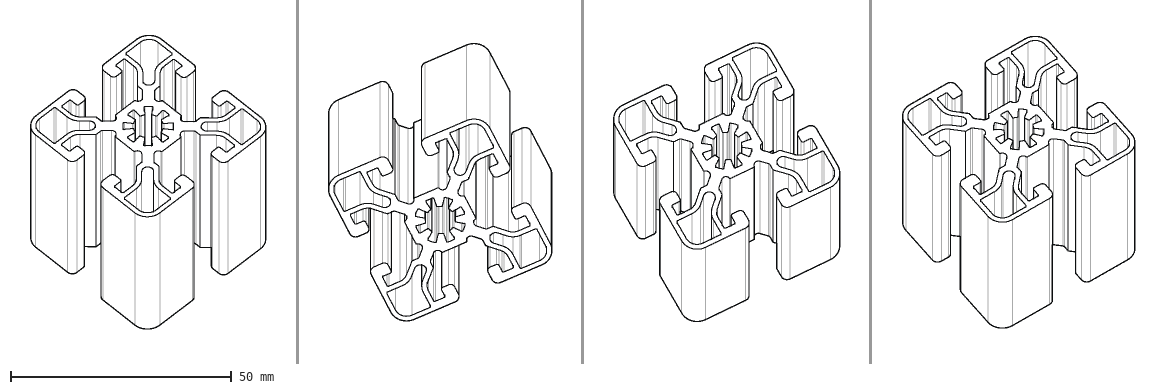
import cadquery as cq
import math

SIDE = 40.0
LENGTH = 40.0
HALF = SIDE / 2
CORNER_RADIUS = 4.0
WALL = 1.2

MOUTH_HALF_WIDTH = 4.2
LIP_DEPTH = 4.5
LIP_THICKNESS = 2.1
LIP_INNER_X = 7.2
LIP_FACE_RADIUS = 1.5
LIP_BACK_RADIUS = 1.0
LIP_TIP_RADIUS = 0.5
UNDERCUT_HALF_WIDTH = 10.0
UNDERCUT_EDGE_RADIUS = 0.3
UNDERCUT_Y = HALF - LIP_THICKNESS
FLOOR_HALF_WIDTH = 6.5
FLOOR_Y = 7.5
GROOVE_RADIUS = 1.0
GROOVE_X = 4.15
GROOVE_EDGE_RADIUS = 0.2

WEB_HALF_WIDTH = 2.55
WEB_BEND_RADIUS = 3.0
NECK_EDGE_RADIUS = 0.6

CAVITY_INNER = UNDERCUT_HALF_WIDTH + WALL
CAVITY_BEND_RADIUS = 4.0
CAVITY_EDGE_RADIUS = 0.3
CAVITY_END_RADIUS = 1.35
CAVITY_END_CENTRE = 9.45

BORE_RADIUS = 3.4
NOTCH_COUNT = 8
NOTCH_TIP_RADIUS = 5.75
NOTCH_MOUTH_HALF_WIDTH = 0.7
NOTCH_TIP_HALF_WIDTH = 1.05
NOTCH_EDGE_RADIUS = 0.25

QUARTER_TURNS = (0, 90, 180, 270)


def bend_edges(solid, x, y, radius):
    """Fillet the vertical edges at (x, y)."""
    reach = 0.02
    box = cq.selectors.BoxSelector((x - reach, y - reach, -0.4), (x + reach, y + reach, LENGTH + 0.4))
    return solid.edges("|Z").edges(box).fillet(radius)


def make_slot():
    """T-slot opening toward +Y."""
    web_offset = WEB_HALF_WIDTH * math.sqrt(2)
    web_top = UNDERCUT_HALF_WIDTH + web_offset
    groove_reach = GROOVE_RADIUS * math.sqrt(0.5)
    groove_exit = (GROOVE_X + groove_reach, FLOOR_Y - groove_reach)
    neck_top = groove_exit[1] + FLOOR_HALF_WIDTH - groove_exit[0]

    half = (
        cq.Workplane("XY")
        .moveTo(0, HALF)
        .lineTo(0, FLOOR_Y)
        .lineTo(GROOVE_X - GROOVE_RADIUS, FLOOR_Y)
        .threePointArc((GROOVE_X, FLOOR_Y - GROOVE_RADIUS), groove_exit)
        .lineTo(FLOOR_HALF_WIDTH, neck_top)
        .lineTo(FLOOR_HALF_WIDTH, FLOOR_HALF_WIDTH + web_offset)
        .lineTo(UNDERCUT_HALF_WIDTH, web_top)
        .lineTo(UNDERCUT_HALF_WIDTH, UNDERCUT_Y)
        .lineTo(LIP_INNER_X, UNDERCUT_Y)
        .lineTo(LIP_INNER_X, HALF - LIP_DEPTH)
        .lineTo(MOUTH_HALF_WIDTH, HALF - LIP_DEPTH)
        .lineTo(MOUTH_HALF_WIDTH, HALF)
        .close()
        .extrude(LENGTH)
    )
    half = bend_edges(half, UNDERCUT_HALF_WIDTH, web_top, WEB_BEND_RADIUS)
    half = bend_edges(half, FLOOR_HALF_WIDTH, neck_top, NECK_EDGE_RADIUS)
    half = bend_edges(half, GROOVE_X - GROOVE_RADIUS, FLOOR_Y, GROOVE_EDGE_RADIUS)
    for x in (LIP_INNER_X, UNDERCUT_HALF_WIDTH):
        half = bend_edges(half, x, UNDERCUT_Y, UNDERCUT_EDGE_RADIUS)
    half = bend_edges(half, LIP_INNER_X, HALF - LIP_DEPTH, LIP_TIP_RADIUS)
    return half.union(half.mirror("YZ"))


def make_cavity():
    """Hollow in the +X +Y corner, with a round-ended tail along the diagonal."""
    outer = HALF - WALL
    bend = CAVITY_INNER + CAVITY_END_RADIUS * math.sqrt(2)
    tangent = CAVITY_END_RADIUS * math.sqrt(0.5)
    near = CAVITY_END_CENTRE - tangent
    far = CAVITY_END_CENTRE + tangent

    cavity = (
        cq.Workplane("XY")
        .moveTo(outer, outer)
        .lineTo(CAVITY_INNER, outer)
        .lineTo(CAVITY_INNER, bend)
        .lineTo(near, far)
        .threePointArc((near, near), (far, near))
        .lineTo(bend, CAVITY_INNER)
        .lineTo(outer, CAVITY_INNER)
        .close()
        .extrude(LENGTH)
    )
    cavity = bend_edges(cavity, outer, outer, CORNER_RADIUS - WALL)
    for x, y in ((CAVITY_INNER, bend), (bend, CAVITY_INNER)):
        cavity = bend_edges(cavity, x, y, CAVITY_BEND_RADIUS)
    for x, y in ((CAVITY_INNER, outer), (outer, CAVITY_INNER)):
        cavity = bend_edges(cavity, x, y, CAVITY_EDGE_RADIUS)
    return cavity


def make_bore():
    """Round bore with notches that widen outward."""
    mouth_x = math.sqrt(BORE_RADIUS**2 - NOTCH_MOUTH_HALF_WIDTH**2)
    tip_x = math.sqrt(NOTCH_TIP_RADIUS**2 - NOTCH_TIP_HALF_WIDTH**2)
    notch = (
        cq.Workplane("XY")
        .moveTo(0, -NOTCH_MOUTH_HALF_WIDTH)
        .lineTo(mouth_x, -NOTCH_MOUTH_HALF_WIDTH)
        .lineTo(tip_x, -NOTCH_TIP_HALF_WIDTH)
        .threePointArc((NOTCH_TIP_RADIUS, 0), (tip_x, NOTCH_TIP_HALF_WIDTH))
        .lineTo(mouth_x, NOTCH_MOUTH_HALF_WIDTH)
        .lineTo(0, NOTCH_MOUTH_HALF_WIDTH)
        .close()
        .extrude(LENGTH)
    )
    bore = cq.Workplane("XY").circle(BORE_RADIUS).extrude(LENGTH)
    for index in range(NOTCH_COUNT):
        bore = bore.union(notch.rotate((0, 0, 0), (0, 0, 1), index * 360 / NOTCH_COUNT))
    return bore.edges("|Z").fillet(NOTCH_EDGE_RADIUS)


def round_lips(body):
    """Round both mouth-side edges of the two lips beside each slot."""
    lip_edges = ((HALF, LIP_FACE_RADIUS), (HALF - LIP_DEPTH, LIP_BACK_RADIUS))
    for depth, radius in lip_edges:
        for side in (-MOUTH_HALF_WIDTH, MOUTH_HALF_WIDTH):
            for x, y in ((side, depth), (side, -depth), (depth, side), (-depth, side)):
                body = bend_edges(body, x, y, radius)
    return body


result = cq.Workplane("XY").rect(SIDE, SIDE).extrude(LENGTH).edges("|Z").fillet(CORNER_RADIUS)
slot = make_slot()
cavity = make_cavity()
for angle in QUARTER_TURNS:
    result = result.cut(slot.rotate((0, 0, 0), (0, 0, 1), angle))
    result = result.cut(cavity.rotate((0, 0, 0), (0, 0, 1), angle))
result = round_lips(result.cut(make_bore()))